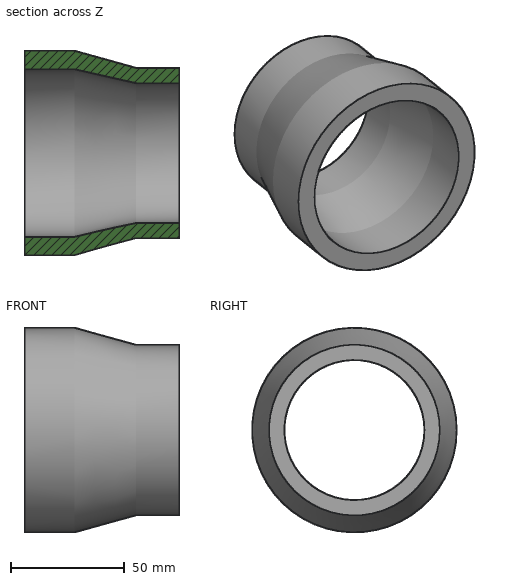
import cadquery as cq

LARGE_OUTER_DIAMETER = 90.0
LARGE_BORE_DIAMETER = 73.6
SMALL_OUTER_DIAMETER = 75.0
SMALL_BORE_DIAMETER = 61.4

TOTAL_LENGTH = 68.0
LARGE_END_LENGTH = 22.0
SMALL_END_LENGTH = 19.0

TAPER_START = LARGE_END_LENGTH
TAPER_END = TOTAL_LENGTH - SMALL_END_LENGTH


def stepped_taper(large_diameter, small_diameter):
    """Solid of revolution: large cylinder, cone, then small cylinder along +X."""
    large_radius = large_diameter / 2
    small_radius = small_diameter / 2
    half_profile = [
        (0, 0),
        (0, large_radius),
        (TAPER_START, large_radius),
        (TAPER_END, small_radius),
        (TOTAL_LENGTH, small_radius),
        (TOTAL_LENGTH, 0),
    ]
    axis_start = (0, 0)
    axis_end = (1, 0)
    return cq.Workplane("XY").polyline(half_profile).close().revolve(360, axis_start, axis_end)


body = stepped_taper(LARGE_OUTER_DIAMETER, SMALL_OUTER_DIAMETER)
bore = stepped_taper(LARGE_BORE_DIAMETER, SMALL_BORE_DIAMETER)

result = body.cut(bore)